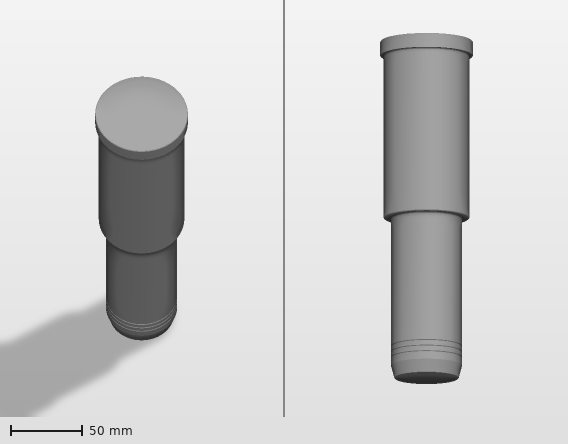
import cadquery as cq

total_length = 240.0
head_diameter = 65.0
body_diameter = 60.0
shaft_diameter = 50.0

head_height = 10.0
head_chamfer = 0.5
body_length = 116.0
body_chamfer = 0.5

groove_width = 1.0
groove_depth = 0.5
groove_clearance = 1.0

groove_count = 3
groove_pitch = 4.0
lowest_groove_height = 14.5

lead_length = 9.0
tip_diameter = 45.2
tip_chamfer = 0.3

head_base = total_length - head_height
body_base = head_base - body_length


def stepped_pin():
    """Revolve the half profile of the head, body, shaft and conical lead-in about Z."""
    head_radius = head_diameter / 2
    body_radius = body_diameter / 2
    shaft_radius = shaft_diameter / 2
    tip_radius = tip_diameter / 2
    profile = (
        cq.Workplane("XZ")
        .moveTo(0, 0)
        .lineTo(tip_radius - tip_chamfer, 0)
        .lineTo(tip_radius, tip_chamfer)
        .lineTo(shaft_radius, lead_length)
        .lineTo(shaft_radius, body_base)
        .lineTo(body_radius - body_chamfer, body_base)
        .lineTo(body_radius, body_base + body_chamfer)
        .lineTo(body_radius, head_base)
        .lineTo(head_radius, head_base)
        .lineTo(head_radius, total_length - head_chamfer)
        .lineTo(head_radius - head_chamfer, total_length)
        .lineTo(0, total_length)
        .close()
    )
    return profile.revolve(360, (0, 0, 0), (0, 1, 0))


def cut_ring_groove(pin, diameter, base):
    """Cut a V groove, with its lower edge at the given level, around a cylinder."""
    radius = diameter / 2
    cutter = (
        cq.Workplane("XZ")
        .moveTo(radius + groove_clearance, base)
        .lineTo(radius, base)
        .lineTo(radius - groove_depth, base + groove_width / 2)
        .lineTo(radius, base + groove_width)
        .lineTo(radius + groove_clearance, base + groove_width)
        .close()
        .revolve(360, (0, 0, 0), (0, 1, 0))
    )
    return pin.cut(cutter)


def cut_reliefs(pin):
    """Cut the relief grooves under the head and under the body shoulder."""
    pin = cut_ring_groove(pin, body_diameter, head_base - groove_width)
    return cut_ring_groove(pin, shaft_diameter, body_base - groove_width)


def cut_oil_grooves(pin):
    """Cut the evenly spaced oil grooves near the tip."""
    for index in range(groove_count):
        base = lowest_groove_height + index * groove_pitch - groove_width / 2
        pin = cut_ring_groove(pin, shaft_diameter, base)
    return pin


result = cut_oil_grooves(cut_reliefs(stepped_pin()))